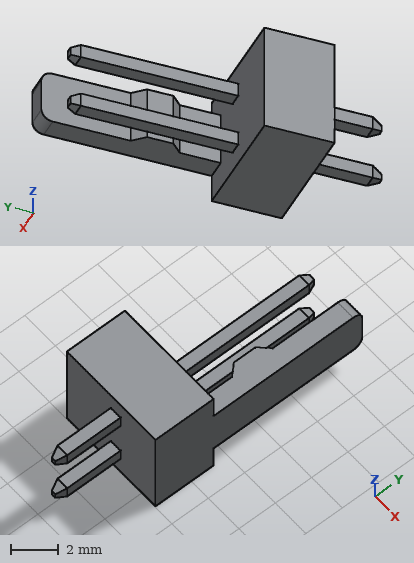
import cadquery as cq

housing_width = 5.8
housing_depth = 3.2
housing_height = 5.12

latch_end_y = 11.37
latch_thickness = 1.0
latch_height = 2.5
latch_corner_radius = 0.5

bump_rise = 0.5
bump_start_y = 5.06
bump_crest_start_y = 5.56
bump_crest_end_y = 6.76
bump_end_y = 7.3

overall_length = 14.8
pin_count = 2
pin_pitch = 2.55
pin_width = 0.64
pin_x = 3.2
pin_front_y = latch_end_y - overall_length
pin_back_y = 10.76
front_taper_length = 0.5
front_tip_width = 0.24
front_tip_height = 0.28
back_taper_length = 0.4
back_tip_width = 0.33
back_tip_height = 0.37
tip_offset_x = 0.022


def make_latch():
    """Latch arm with its locking bump and rounded end corners."""
    inner_x = housing_width - latch_thickness
    crest_x = inner_x - bump_rise
    arm = (
        cq.Workplane("XY")
        .workplane(offset=-latch_height / 2)
        .moveTo(housing_width, housing_depth)
        .lineTo(housing_width, latch_end_y)
        .lineTo(inner_x, latch_end_y)
        .lineTo(inner_x, bump_end_y)
        .lineTo(crest_x, bump_crest_end_y)
        .lineTo(crest_x, bump_crest_start_y)
        .lineTo(inner_x, bump_start_y)
        .lineTo(inner_x, housing_depth)
        .close()
        .extrude(latch_height)
    )
    return arm.faces(">Y").edges("|X").fillet(latch_corner_radius)


def rectangle_wire(x, y, z, width, height):
    """Rectangle centred on (x, z), lying in the plane at y."""
    left = x - width / 2
    right = x + width / 2
    bottom = z - height / 2
    top = z + height / 2
    corners = [
        cq.Vector(left, y, bottom),
        cq.Vector(right, y, bottom),
        cq.Vector(right, y, top),
        cq.Vector(left, y, top),
    ]
    return cq.Wire.makePolygon(corners, close=True)


def make_taper(base_y, tip_y, tip_width, tip_height, z):
    """Tapered pin end, from the square shank to its slightly offset tip."""
    base = rectangle_wire(pin_x, base_y, z, pin_width, pin_width)
    tip = rectangle_wire(pin_x + tip_offset_x, tip_y, z, tip_width, tip_height)
    return cq.Workplane(cq.Solid.makeLoft([base, tip], True))


def make_pin(z):
    """One pin: square shank plus the two tapered tips."""
    shank_front_y = pin_front_y + front_taper_length
    shank_back_y = pin_back_y - back_taper_length
    shank = (
        cq.Workplane("XY")
        .box(pin_width, shank_back_y - shank_front_y, pin_width, centered=(True, False, True))
        .translate((pin_x, shank_front_y, z))
    )
    front_tip = make_taper(shank_front_y, pin_front_y, front_tip_width, front_tip_height, z)
    back_tip = make_taper(shank_back_y, pin_back_y, back_tip_width, back_tip_height, z)
    return shank.union(front_tip).union(back_tip)


def make_housing(pins):
    """Housing block and latch arm, with a matching hole for each pin."""
    block = cq.Workplane("XY").box(
        housing_width, housing_depth, housing_height, centered=(False, False, True)
    )
    body = block.union(make_latch())
    for pin in pins:
        body = body.cut(pin)
    return body


pins = []
for index in range(pin_count):
    pin_z = (index - (pin_count - 1) / 2) * pin_pitch
    pins.append(make_pin(pin_z))

housing = make_housing(pins)

result = cq.Compound.makeCompound([housing.solids().val(), *[pin.solids().val() for pin in pins]])